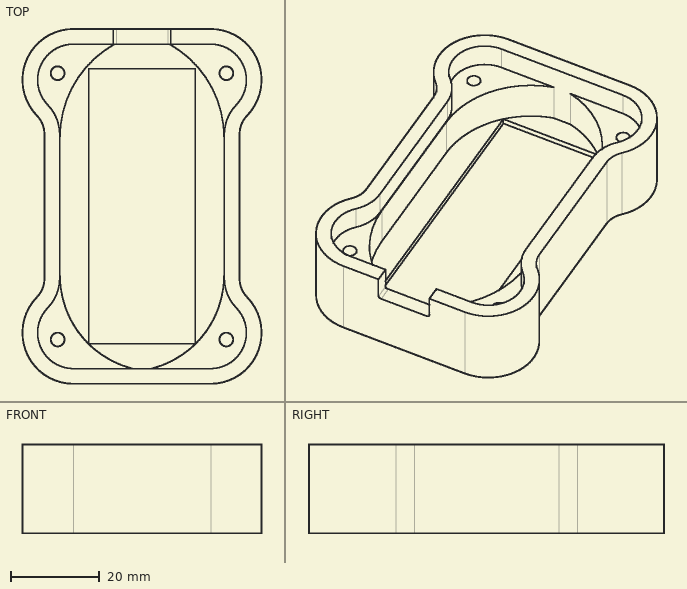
import cadquery as cq
import math

length = 80.0
height = 20.0
waist_half_width = 22.0
wall = 3.4

lobe_radius = 11.5
lobe_x = 15.4
lobe_y = length / 2 - lobe_radius
blend_radius = 6.0

ledge_z = 14.0
floor_z = 4.0
recess_depth = 1.4

well_half_width = 18.5
inner_end_y = length / 2 - wall
arch_start_y = 15.6
front_arch_radius = 21.6
back_arch_radius = 24.0

recess_width = 24.0
recess_length = 62.0

hole_diameter = 3.0
hole_spacing_x = 38.0
hole_spacing_y = 60.0

notch_width = 13.0
notch_corner_radius = 0.6


def dog_bone(inset, depth):
    """Solid with four round lobes and a narrow waist, shrunk inward by inset."""
    lobe = lobe_radius - inset
    blend = blend_radius + inset
    waist = waist_half_width - inset
    end_y = lobe_y + lobe
    blend_x = waist + blend
    rise = math.sqrt((lobe + blend) ** 2 - (blend_x - lobe_x) ** 2)
    blend_y = lobe_y - rise
    half_turn = math.atan2(rise, blend_x - lobe_x) / 2
    join_x = lobe_x + lobe * math.cos(2 * half_turn)
    join_y = lobe_y - lobe * math.sin(2 * half_turn)
    blend_mid_x = blend_x - blend * math.cos(half_turn)
    blend_mid_y = blend_y + blend * math.sin(half_turn)
    side_x = lobe_x + lobe

    right_half = (
        cq.Workplane("XY")
        .moveTo(0, -end_y)
        .lineTo(lobe_x, -end_y)
        .threePointArc((side_x, -lobe_y), (join_x, -join_y))
        .threePointArc((blend_mid_x, -blend_mid_y), (waist, -blend_y))
        .lineTo(waist, blend_y)
        .threePointArc((blend_mid_x, blend_mid_y), (join_x, join_y))
        .threePointArc((side_x, lobe_y), (lobe_x, end_y))
        .lineTo(0, end_y)
        .close()
        .extrude(depth)
    )
    return right_half.union(right_half.mirror("YZ"))


def arch_point(radius, x):
    """Point at x >= 0 on the right-hand arc of a +Y arch."""
    center_x = well_half_width - radius
    return x, arch_start_y + math.sqrt(radius ** 2 - (x - center_x) ** 2)


def well():
    """Arch-ended well, cut flat at the inner faces of the end walls."""
    middle_x = well_half_width / 2
    front_mid_x, front_mid_y = arch_point(front_arch_radius, middle_x)
    back_mid_x, back_mid_y = arch_point(back_arch_radius, middle_x)
    front_peak_x, front_peak_y = arch_point(front_arch_radius, 0)
    right_half = (
        cq.Workplane("XY", origin=(0, 0, floor_z))
        .moveTo(front_peak_x, -front_peak_y)
        .threePointArc((front_mid_x, -front_mid_y), (well_half_width, -arch_start_y))
        .lineTo(well_half_width, arch_start_y)
        .threePointArc((back_mid_x, back_mid_y), arch_point(back_arch_radius, 0))
        .close()
        .extrude(height)
    )
    bounds = (
        cq.Workplane("XY", origin=(0, 0, floor_z))
        .rect(2 * well_half_width, 2 * inner_end_y)
        .extrude(height)
    )
    return right_half.union(right_half.mirror("YZ")).intersect(bounds)


def notch():
    """Open-topped cutter for the back wall."""
    return (
        cq.Workplane("XY", origin=(0, inner_end_y + wall / 2, ledge_z))
        .box(notch_width, wall, height, centered=(True, True, False))
        .edges("|Y and <Z")
        .fillet(notch_corner_radius)
    )


upper_cavity = dog_bone(wall, height).translate((0, 0, ledge_z))
recess = (
    cq.Workplane("XY", origin=(0, 0, floor_z - recess_depth))
    .rect(recess_width, recess_length)
    .extrude(recess_depth)
)
screw_holes = (
    cq.Workplane("XY")
    .rect(hole_spacing_x, hole_spacing_y, forConstruction=True)
    .vertices()
    .circle(hole_diameter / 2)
    .extrude(height)
)

result = (
    dog_bone(0, height)
    .cut(upper_cavity)
    .cut(well())
    .cut(recess)
    .cut(screw_holes)
    .cut(notch())
)